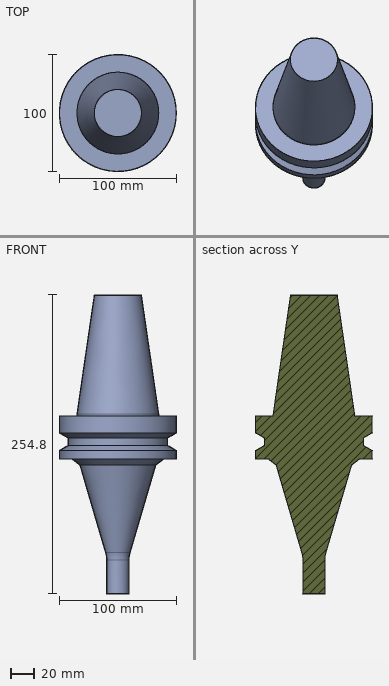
import cadquery as cq
import math

total_height = 254.8
flange_diameter = 100.0

tip_diameter = 19.0
tip_height = 29.0
neck_diameter = 21.0
neck_top = 35.2

nose_diameter = 64.7
nose_top = 109.8
collar_diameter = 78.0

flange_bottom = 115.0
flange_top = 151.9
groove_bottom = 122.3
groove_top = 137.3
groove_diameter = 85.0
groove_wall_angle = 30.0

taper_diameter = 69.8
taper_start = 153.5
taper_ratio = 7 / 24

groove_depth = (flange_diameter - groove_diameter) / 2
groove_wall_height = groove_depth * math.tan(math.radians(groove_wall_angle))
taper_end_diameter = taper_diameter - taper_ratio * (total_height - taper_start)

profile = [
    (nose_diameter, nose_top),
    (collar_diameter, flange_bottom),
    (flange_diameter, flange_bottom),
    (flange_diameter, groove_bottom),
    (groove_diameter, groove_bottom + groove_wall_height),
    (groove_diameter, groove_top - groove_wall_height),
    (flange_diameter, groove_top),
    (flange_diameter, flange_top),
    (taper_diameter, flange_top),
    (taper_diameter, taper_start),
    (taper_end_diameter, total_height),
]

half_section = (
    cq.Workplane("XZ")
    .moveTo(0, 0)
    .lineTo(tip_diameter / 2, 0)
    .lineTo(tip_diameter / 2, tip_height)
    .tangentArcPoint((neck_diameter / 2, neck_top), relative=False)
)
for diameter, height in profile:
    half_section = half_section.lineTo(diameter / 2, height)
half_section = half_section.lineTo(0, total_height).close()

result = half_section.revolve(360, (0, 0, 0), (0, 1, 0))